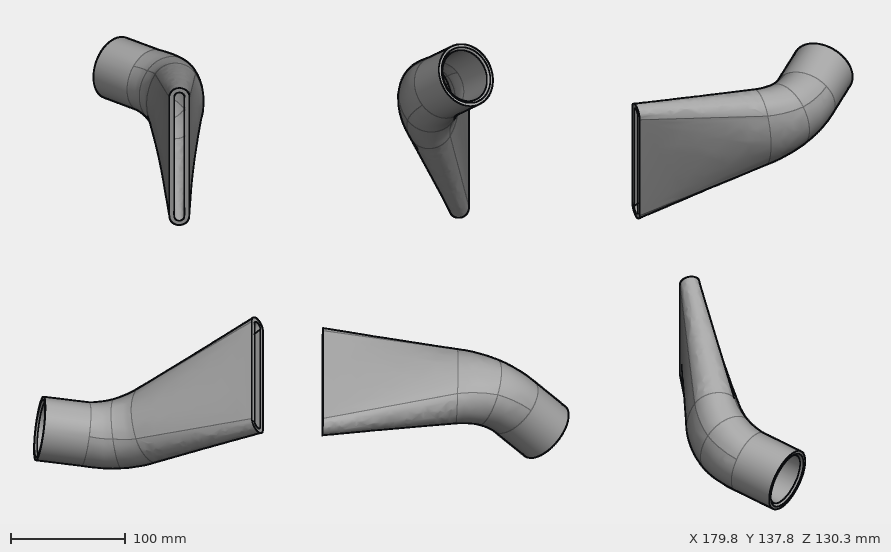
import cadquery as cq
import math

TUBE_RADIUS = 28.0
TUBE_LENGTH = 40.0
TUBE_WALL = 5.0
MOUTH_WIDENING = 2.2
MOUTH_DEPTH = 2.0

BEND_ANGLE = 45.0
CORNER_X = 70.0
BEND_RADIUS = (CORNER_X - TUBE_LENGTH) / math.tan(math.radians(BEND_ANGLE / 2))

FLARE_LENGTH = 116.57
SLOT_HALF_WIDTH = 8.75
SLOT_HALF_HEIGHT = 65.13
SLOT_WALL = 4.3

ROUND_CAP_ANGLE = 45.0
BEND_SECTIONS = [
    (0.0, TUBE_RADIUS, TUBE_RADIUS, ROUND_CAP_ANGLE),
    (0.5, 27.4, 32.4, 52.5),
    (1.0, 25.0, 38.4, 60.5),
]


def section_plane(bend_fraction, advance=0.0):
    """Plane square to the centreline; `advance` moves it straight on along its normal.

    Local x lies across the duct and local y is the global Z.
    """
    angle = math.radians(BEND_ANGLE * bend_fraction)
    direction = cq.Vector(math.cos(angle), -math.sin(angle), 0)
    across = cq.Vector(math.sin(angle), math.cos(angle), 0)
    bend_centre = cq.Vector(TUBE_LENGTH, -BEND_RADIUS, 0)
    origin = bend_centre + across * BEND_RADIUS + direction * advance
    return cq.Plane(origin=origin, xDir=across, normal=direction)


def oval_wire(plane, half_width, half_height, cap_angle):
    """Oval of four tangent arcs: caps at top and bottom, flatter arcs at the sides."""
    sine = math.sin(math.radians(cap_angle))
    cosine = math.cos(math.radians(cap_angle))
    if half_width == half_height:
        cap_radius = half_width
    else:
        slope = cosine / (1 - sine)
        cap_radius = (half_height - half_width * slope) / (1 - cosine - sine * slope)
    seam_x = cap_radius * sine
    seam_y = half_height - cap_radius * (1 - cosine)
    return (
        cq.Workplane(plane)
        .moveTo(seam_x, seam_y)
        .threePointArc((0, half_height), (-seam_x, seam_y))
        .threePointArc((-half_width, 0), (-seam_x, -seam_y))
        .threePointArc((0, -half_height), (seam_x, -seam_y))
        .threePointArc((half_width, 0), (seam_x, seam_y))
        .close()
        .val()
    )


def slot_wire(plane, half_width, half_height):
    """Straight-sided slot with semicircular ends."""
    straight = half_height - half_width
    return (
        cq.Workplane(plane)
        .moveTo(half_width, straight)
        .threePointArc((0, half_height), (-half_width, straight))
        .lineTo(-half_width, -straight)
        .threePointArc((0, -half_height), (half_width, -straight))
        .close()
        .val()
    )


def bend_piece(start_fraction, end_fraction, start_wire, end_wire):
    """Part of the bend, blending one section into the next along the centreline arc."""
    middle_fraction = (start_fraction + end_fraction) / 2
    path = cq.Edge.makeThreePointArc(
        section_plane(start_fraction).origin,
        section_plane(middle_fraction).origin,
        section_plane(end_fraction).origin,
    )
    return cq.Solid.sweep_multi([start_wire, end_wire], path, makeSolid=True, isFrenet=False)


def duct(tube_inset, slot_inset):
    """Solid from inlet to outlet, its sections drawn in from the outer skin by the insets."""
    fractions = [section[0] for section in BEND_SECTIONS]
    wires = [
        oval_wire(section_plane(fraction), half_width - tube_inset, half_height - tube_inset, cap_angle)
        for fraction, half_width, half_height, cap_angle in BEND_SECTIONS
    ]
    slot = slot_wire(
        section_plane(1.0, FLARE_LENGTH),
        SLOT_HALF_WIDTH - slot_inset,
        SLOT_HALF_HEIGHT - slot_inset,
    )
    body = cq.Workplane("YZ").circle(TUBE_RADIUS - tube_inset).extrude(TUBE_LENGTH)
    for start, end, start_wire, end_wire in zip(fractions, fractions[1:], wires, wires[1:]):
        body = body.union(bend_piece(start, end, start_wire, end_wire))
    return body.union(cq.Solid.makeLoft([wires[-1], slot], ruled=True))


def inlet_mouth():
    """Cone that chamfers the bore at the inlet."""
    bore_radius = TUBE_RADIUS - TUBE_WALL
    return cq.Solid.makeCone(
        bore_radius + MOUTH_WIDENING,
        bore_radius,
        MOUTH_DEPTH,
        pnt=cq.Vector(0, 0, 0),
        dir=cq.Vector(1, 0, 0),
    )


outside = duct(0.0, 0.0)
bore = duct(TUBE_WALL, SLOT_WALL)
result = outside.cut(bore).cut(cq.Workplane(inlet_mouth()))